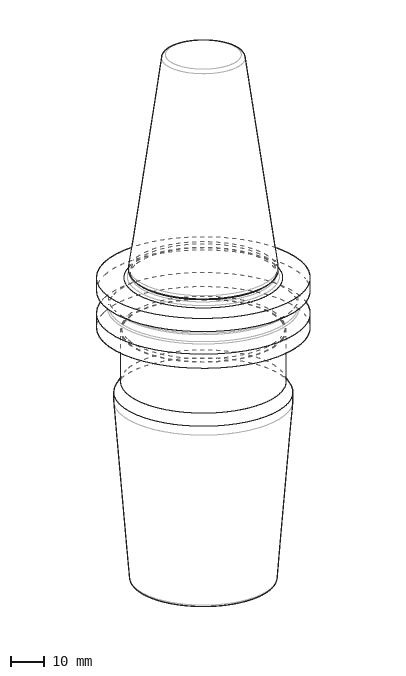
import cadquery as cq
import math

total_height = 168.4

taper_tip_radius = 12.3
taper_base_radius = 22.2
taper_tip_fillet = 1.2
gauge_z = 100.2

undercut_radius = 21.7
undercut_top_z = 99.2
undercut_chamfer = 0.5
root_fillet = 0.8
root_cone_radius = 23.5
root_cone_height = 0.3

flange_diameter = 63.5
flange_radius = flange_diameter / 2
flange_top_z = 96.8
flange_bottom_z = 80.8
groove_radius = 28.1
groove_top_z = 92.6
groove_bottom_z = 85.4
groove_wall_angle = 30.0
groove_wall_rise = (flange_radius - groove_radius) * math.tan(math.radians(groove_wall_angle))
groove_fillet = 0.7

neck_radius = 24.6
neck_relief_radius = 24.2
neck_relief_height = 1.0
neck_bottom_z = 63.5

nose_radius = 26.6
nose_top_z = 60.1
nose_taper_top_z = 57.3
nose_bottom_radius = 21.9
nose_bottom_fillet = 0.8


def solid_of_revolution(half_section):
    return half_section.close().revolve(360, (0, 0), (0, 1))


def taper_and_flange():
    root_z = flange_top_z + root_cone_height
    root_outer_radius = undercut_radius + root_fillet
    arc_inset = root_fillet * (1 - math.sqrt(0.5))
    half_section = (
        cq.Workplane("XZ")
        .moveTo(0, flange_bottom_z)
        .lineTo(0, total_height)
        .lineTo(taper_tip_radius, total_height)
        .lineTo(taper_base_radius, gauge_z)
        .lineTo(taper_base_radius, undercut_top_z)
        .lineTo(undercut_radius, undercut_top_z - undercut_chamfer)
        .lineTo(undercut_radius, root_z + root_fillet)
        .threePointArc((undercut_radius + arc_inset, root_z + arc_inset), (root_outer_radius, root_z))
        .lineTo(root_cone_radius, flange_top_z)
        .lineTo(flange_radius, flange_top_z)
        .lineTo(flange_radius, flange_bottom_z)
    )
    return solid_of_revolution(half_section).faces(">Z").edges().fillet(taper_tip_fillet)


def gripper_groove():
    half_section = cq.Workplane("XZ").polyline([
        (flange_radius, groove_top_z),
        (groove_radius, groove_top_z - groove_wall_rise),
        (groove_radius, groove_bottom_z + groove_wall_rise),
        (flange_radius, groove_bottom_z),
    ])
    smallest_circles = cq.selectors.RadiusNthSelector(0)
    return solid_of_revolution(half_section).edges("%CIRCLE").edges(smallest_circles).fillet(groove_fillet)


def neck_and_nose():
    neck_relief_z = flange_bottom_z - neck_relief_height
    half_section = cq.Workplane("XZ").polyline([
        (0, flange_bottom_z),
        (neck_relief_radius, flange_bottom_z),
        (neck_relief_radius, neck_relief_z),
        (neck_radius, neck_relief_z),
        (neck_radius, neck_bottom_z),
        (nose_radius, nose_top_z),
        (nose_radius, nose_taper_top_z),
        (nose_bottom_radius, 0),
        (0, 0),
    ])
    return solid_of_revolution(half_section).faces("<Z").edges().fillet(nose_bottom_fillet)


result = taper_and_flange().cut(gripper_groove()).union(neck_and_nose())